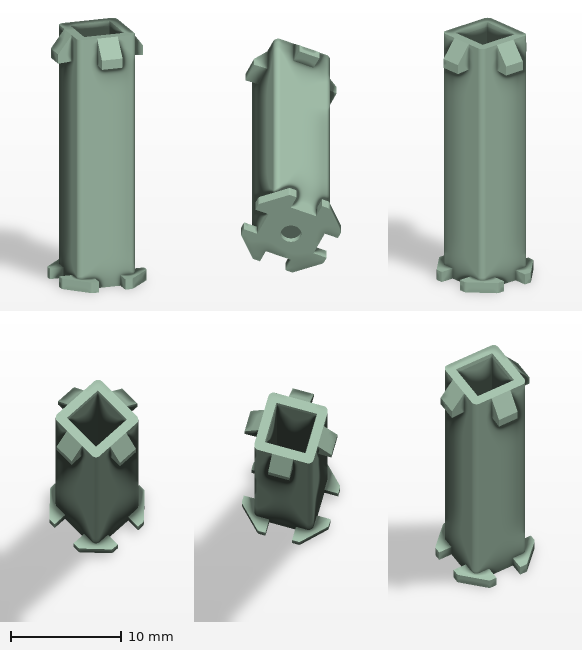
import cadquery as cq

height = 23.7
body_width = 5.6
body_corner_radius = 0.5

cavity_width = 3.7
mouth_width = 3.85
lead_in_depth = 0.4
floor_thickness = 1.0

hole_diameter = 1.9
counterbore_diameter = 2.75
counterbore_depth = floor_thickness / 2

overall_width = 8.2
foot_thickness = 1.0
foot_chamfer = 2.13
foot_edge_radius = 0.3
foot_gap = 2.51

latch_width = 2.0
latch_ramp_height = 1.7
latch_root_height = 2.5
latch_tip_height = 2.58
latch_root_overlap = 0.24


def make_body():
    body = cq.Workplane("XY").rect(body_width, body_width).extrude(height)
    return body.edges("|Z").fillet(body_corner_radius)


def make_feet():
    """Chamfered square plate split into four corner feet by a cross-shaped gap."""
    plate = cq.Workplane("XY").rect(overall_width, overall_width).extrude(foot_thickness)
    plate = plate.edges("|Z").chamfer(foot_chamfer)
    plate = plate.edges("|Z").fillet(foot_edge_radius)
    gap_x = cq.Workplane("XY").rect(overall_width, foot_gap).extrude(foot_thickness)
    gap_y = cq.Workplane("XY").rect(foot_gap, overall_width).extrude(foot_thickness)
    return plate.cut(gap_x).cut(gap_y)


def make_latch():
    """Latch on the +X side: ramp above, slightly undercut catch face below."""
    root = body_width / 2
    tip = overall_width / 2
    inner = root - latch_root_overlap
    profile = [
        (inner, height),
        (root, height),
        (tip, height - latch_ramp_height),
        (tip, height - latch_tip_height),
        (root, height - latch_root_height),
        (inner, height - latch_root_height),
    ]
    return cq.Workplane("XZ").polyline(profile).close().extrude(latch_width / 2, both=True)


def make_cavity():
    cavity = (
        cq.Workplane("XY", origin=(0, 0, floor_thickness))
        .rect(cavity_width, cavity_width)
        .extrude(height - floor_thickness)
    )
    lead_in = (
        cq.Workplane("XY", origin=(0, 0, height - lead_in_depth))
        .rect(cavity_width, cavity_width)
        .workplane(offset=lead_in_depth)
        .rect(mouth_width, mouth_width)
        .loft(combine=True)
    )
    return cavity.union(lead_in)


def make_screw_hole():
    hole = cq.Workplane("XY").circle(hole_diameter / 2).extrude(floor_thickness)
    counterbore = (
        cq.Workplane("XY", origin=(0, 0, floor_thickness - counterbore_depth))
        .circle(counterbore_diameter / 2)
        .extrude(counterbore_depth)
    )
    return hole.union(counterbore)


result = make_body().union(make_feet())
for angle in (0, 90, 180, 270):
    result = result.union(make_latch().rotate((0, 0, 0), (0, 0, 1), angle))
result = result.cut(make_cavity()).cut(make_screw_hole())